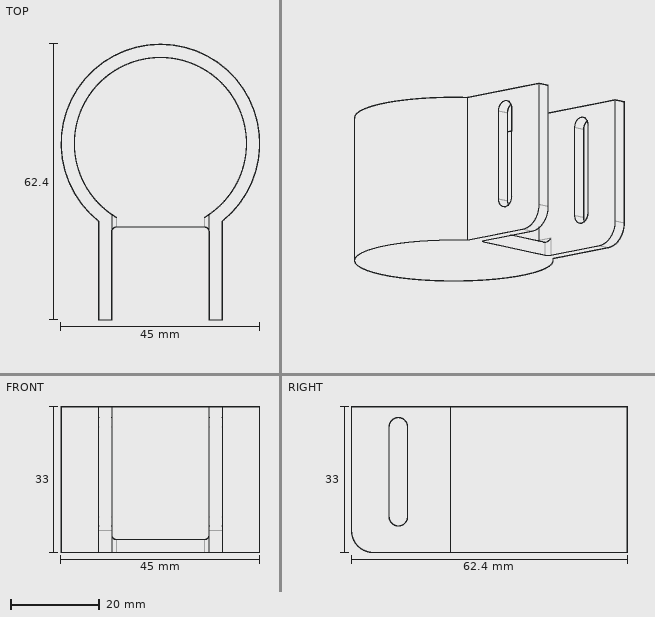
import cadquery as cq
import math

height = 33.0
outer_radius = 22.5
wall = 3.0
total_depth = 62.4
gap_half = 11.0
floor_front = -18.9
blend_radius = 1.0
arm_corner_radius = 5.0
slot_width = 4.1
slot_length = 24.45
slot_to_arm_end = 10.6
slot_bottom = 6.05

inner_radius = outer_radius - wall
arm_half = gap_half + wall
flat_half = gap_half - blend_radius
arm_end = outer_radius - total_depth
arm_start = -math.sqrt(inner_radius**2 - gap_half**2)
floor_blend_front = floor_front - blend_radius
blend_sag = blend_radius * (1 - math.sqrt(0.5))


def make_ring():
    """Round wall, open at the front between the arms."""
    ring = cq.Workplane("XY").circle(outer_radius).circle(inner_radius).extrude(height)
    opening = cq.Workplane("XY").box(
        2 * gap_half, outer_radius, height, centered=(True, False, False)
    ).translate((0, -outer_radius, 0))
    return ring.cut(opening)


def make_arm(side):
    """Flat slotted arm with a rounded lower front corner; side is -1 or 1."""
    arm = (
        cq.Workplane("XY")
        .box(wall, arm_start - arm_end, height, centered=(True, False, False))
        .translate((side * (gap_half + wall / 2), arm_end, 0))
        .edges("|X and <Y and <Z")
        .fillet(arm_corner_radius)
    )
    slot = (
        cq.Workplane("YZ")
        .center(arm_end + slot_to_arm_end, slot_bottom + slot_length / 2)
        .slot2D(slot_length, slot_width, 90)
        .extrude(arm_half, both=True)
    )
    return arm.cut(slot)


def make_tongue_outline():
    """Floor outline between the arms, flaring forward where it meets them."""
    return (
        cq.Workplane("XY")
        .moveTo(-gap_half, arm_start)
        .lineTo(-gap_half, floor_blend_front)
        .threePointArc((-gap_half + blend_sag, floor_front - blend_sag), (-flat_half, floor_front))
        .lineTo(flat_half, floor_front)
        .threePointArc((gap_half - blend_sag, floor_front - blend_sag), (gap_half, floor_blend_front))
        .lineTo(gap_half, arm_start)
        .close()
    )


def make_floor():
    """Round floor plus the tongue reaching forward between the arms."""
    disc = cq.Workplane("XY").circle(inner_radius).extrude(wall)
    front_trim = cq.Workplane("XY").box(
        2 * outer_radius, outer_radius, height, centered=(True, False, False)
    ).translate((0, floor_front - outer_radius, 0))
    return disc.cut(front_trim).union(make_tongue_outline().extrude(wall))


def make_floor_blend(side):
    """Concave blend from the floor top up to an arm, outside the round bore."""
    strip = (
        cq.Workplane("XZ", origin=(0, arm_start, 0))
        .moveTo(side * gap_half, wall)
        .lineTo(side * gap_half, wall + blend_radius)
        .threePointArc(
            (side * (gap_half - blend_sag), wall + blend_sag),
            (side * flat_half, wall),
        )
        .close()
        .extrude(arm_start - floor_blend_front)
    )
    bore = cq.Workplane("XY").circle(inner_radius).extrude(height)
    return strip.intersect(make_tongue_outline().extrude(height)).cut(bore)


result = make_ring().union(make_floor())
for side in (-1, 1):
    result = result.union(make_arm(side)).union(make_floor_blend(side))
result = result.clean()